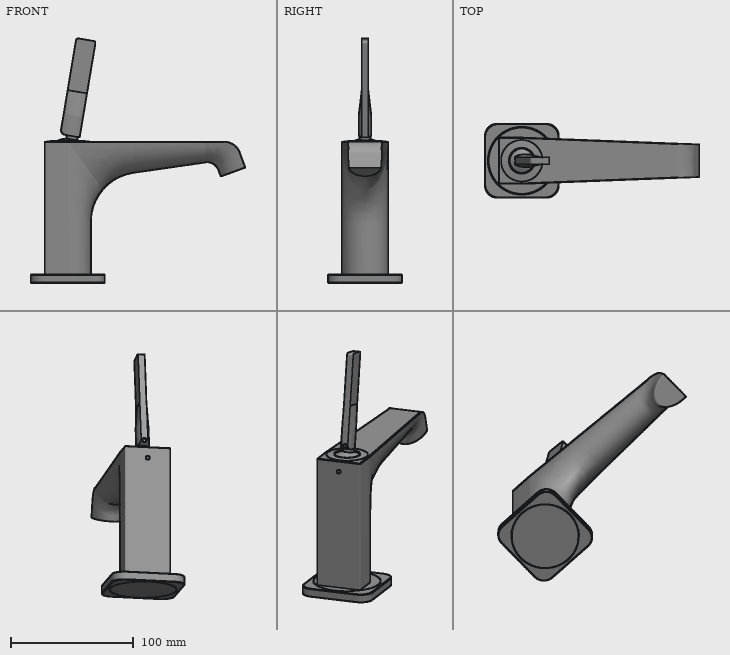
import cadquery as cq
import math

plate_size = 60.5
plate_height = 7.2
plate_corner = 10.4
plate_edge = 0.5
seat_radius = 27.1
seat_gap = 0.4

column_width = 38.0
column_half = column_width / 2
column_top = 115.3
body_edge = 0.5
bend_start_z = 50.3
bend_radius = 40.0
underside_rise = 8.2
neck_x = 112.3
crown_x = 127.3
crown_radius = 13.8
outlet_tilt = 20.0
outlet_x = 144.6
outlet_depth = 21.3
throat_radius = 9.5
outlet_rim = 1.2
spout_end_half = 13.4

plug_radius = 1.5
plug_z = 106.1
plug_recess = 1.0
plug_length = 4.0

pivot_z = 98.0
lever_tilt = 9.5
dome_radius = 20.0
collar_radius = 17.0
collar_bore = 10.5
collar_height = 0.8
collar_rim = 0.2
stem_radius = 4.5
stem_start = 19.2
handle_start = 22.1
handle_length = 79.5
handle_back = -10.0
handle_front = 6.2
handle_edge_thickness = 5.5
handle_mid_thickness = 10.4
bulge_length = 17.0
taper_length = 19.4
tip_corner = 2.0
heel_corner = 4.0
screw_radius = 1.5
screw_height = 3.0
screw_length = 4.0
screw_recess = 1.5
blade_crown = 0.1
fan_steps = 6

arch_center_x = column_half + bend_radius
arch_turn = 90 - underside_rise
corner_turn = arch_turn / 2
throat_split = 20.0
outlet_heading = 90 - outlet_tilt
arch_end = (
    arch_center_x - bend_radius * math.cos(math.radians(arch_turn)),
    bend_start_z + bend_radius * math.sin(math.radians(arch_turn)),
)
rise = math.radians(underside_rise)
tilt = math.radians(outlet_tilt)
neck_z = arch_end[1] + (neck_x - arch_end[0]) * math.tan(rise)
throat_center = (neck_x + throat_radius * math.sin(rise), neck_z - throat_radius * math.cos(rise))
throat_end = (
    throat_center[0] + throat_radius * math.cos(tilt),
    throat_center[1] + throat_radius * math.sin(tilt),
)
crown_center = (crown_x, column_top - crown_radius)
crown_end = (
    crown_center[0] + crown_radius * math.cos(tilt),
    crown_center[1] + crown_radius * math.sin(tilt),
)
outlet_outer = (outlet_x, crown_end[1] - (outlet_x - crown_end[0]) / math.tan(tilt))
outlet_inner = (
    outlet_outer[0] - outlet_depth * math.cos(tilt),
    outlet_outer[1] - outlet_depth * math.sin(tilt),
)

handle_width = handle_front - handle_back
handle_mid = (handle_front + handle_back) / 2


def in_lever_frame(shape):
    """Move a shape built around an upright lever axis at the origin to the tilted axis."""
    return shape.rotate((0, 0, 0), (0, 1, 0), lever_tilt).translate((0, 0, pivot_z))


def make_plate():
    plate = cq.Workplane("XY").rect(plate_size, plate_size).extrude(plate_height)
    plate = plate.edges("|Z").fillet(plate_corner)
    plate = plate.faces("<Z or >Z").edges().chamfer(plate_edge)
    return plate.cut(cq.Workplane("XY").circle(seat_radius + seat_gap).extrude(plate_height))


def make_seat():
    return cq.Workplane("XY").circle(seat_radius).extrude(plate_height)


def half_width(x):
    """Half the width of the column and spout, tapering from the column to the outlet."""
    return column_half - (column_half - spout_end_half) * max(x, 0) / outlet_x


def section(outer, inner):
    """Half-ellipse section: flat along the outer point, rounded through the inner point."""
    span = cq.Vector(inner[0] - outer[0], 0, inner[1] - outer[1])
    plane = cq.Plane(
        origin=(outer[0], 0, outer[1]),
        xDir=span,
        normal=span.cross(cq.Vector(0, 1, 0)),
    )
    return (
        cq.Workplane(plane)
        .ellipseArc(span.Length, half_width(outer[0]), -90, 90, startAtCurrent=False)
        .close()
    )


def between(start, end, fraction):
    return start + (end - start) * fraction


def on_arc(center, radius, heading):
    """Point of an arc in the XZ plane where the path descends by the heading, in degrees."""
    angle = math.radians(heading)
    return center[0] + radius * math.sin(angle), center[1] + radius * math.cos(angle)


def loft_fan(outer_at, inner_at, ruled=False):
    """Solid through sections fanned between an outer and an inner path, each run from 0 to 1."""
    steps = 1 if ruled else fan_steps
    sections = []
    for step in range(steps + 1):
        part = step / steps
        sections.append(section(outer_at(part), inner_at(part)).val())
    return cq.Workplane(cq.Solid.makeLoft(sections, ruled))


def make_column():
    """Rectangular rear half and half-round front half, the front only up to the arch."""
    rear = (
        cq.Workplane("XY", origin=(-column_half / 2, 0, plate_height))
        .rect(column_half, column_width)
        .extrude(column_top - plate_height)
        .edges("|Z and <X")
        .fillet(body_edge)
        .faces(">Z")
        .edges("not >X")
        .chamfer(body_edge)
    )
    front = section((0, plate_height), (column_half, plate_height)).extrude(bend_start_z - plate_height)
    return rear.union(front)


def make_arch():
    """Curve from the column's front to the spout's underside, in two fans that meet at the top corner."""
    def inner_at(turn):
        angle = math.radians(turn)
        return arch_center_x - bend_radius * math.cos(angle), bend_start_z + bend_radius * math.sin(angle)

    upright = loft_fan(
        lambda part: (0, between(bend_start_z, column_top, part)),
        lambda part: inner_at(corner_turn * part),
    )
    level = loft_fan(
        lambda part: (between(0, arch_end[0], part), column_top),
        lambda part: inner_at(between(corner_turn, arch_turn, part)),
    )
    return upright.union(level)


def make_spout():
    straight = loft_fan(
        lambda part: (between(arch_end[0], neck_x, part), column_top),
        lambda part: (between(arch_end[0], neck_x, part), between(arch_end[1], neck_z, part)),
        ruled=True,
    )
    flat_crown = loft_fan(
        lambda part: (between(neck_x, crown_x, part), column_top),
        lambda part: on_arc(throat_center, throat_radius, between(-underside_rise, throat_split, part)),
    )
    round_crown = loft_fan(
        lambda part: on_arc(crown_center, crown_radius, outlet_heading * part),
        lambda part: on_arc(throat_center, throat_radius, between(throat_split, outlet_heading, part)),
    )
    outlet = loft_fan(
        lambda part: [between(a, b, part) for a, b in zip(crown_end, outlet_outer)],
        lambda part: [between(a, b, part) for a, b in zip(throat_end, outlet_inner)],
        ruled=True,
    )
    outlet = outlet.faces("<Z").edges("not |Y").fillet(outlet_rim)
    return straight.union(flat_crown).union(round_crown).union(outlet)


def make_edge_bevel(side):
    """Wedge that bevels one long top edge, from the column to the end of the flat top."""
    edge_y = side * half_width(0)
    wedge = cq.Workplane("YZ").polyline(
        [
            (edge_y - side * body_edge, column_top),
            (edge_y, column_top - body_edge),
            (edge_y + side * body_edge, column_top),
        ]
    ).close()
    along_edge = cq.Vector(crown_x, side * (half_width(crown_x) - half_width(0)), 0)
    return cq.Workplane(cq.Solid.extrudeLinear(wedge.val(), [], along_edge))


def make_body():
    body = make_column().union(make_arch()).union(make_spout())
    for side in (-1, 1):
        body = body.cut(make_edge_bevel(side))
    vent = cq.Workplane("YZ", origin=(-column_half, 0, plug_z)).circle(plug_radius)
    return body.cut(vent.extrude(plug_recess + plug_length))


def make_plug():
    start_x = -column_half + plug_recess
    return cq.Workplane("YZ", origin=(start_x, 0, plug_z)).circle(plug_radius).extrude(plug_length)


def make_collar():
    """Shallow cone around the dome."""
    return (
        cq.Workplane("XZ", origin=(0, 0, column_top))
        .moveTo(collar_bore, 0)
        .lineTo(collar_radius, 0)
        .lineTo(collar_radius, collar_rim)
        .lineTo(collar_bore, collar_height)
        .close()
        .revolve(360, (0, 0), (0, 1))
    )


def make_dome():
    """Cap of the ball around the pivot that stands above the column, less the seat of the stem."""
    ball = cq.Workplane("XY").sphere(dome_radius).translate((0, 0, pivot_z))
    above = cq.Workplane("XY", origin=(0, 0, column_top)).circle(dome_radius).extrude(dome_radius)
    return ball.intersect(above).cut(make_stem())


def make_stem():
    stem = cq.Workplane("XY", origin=(0, 0, stem_start)).circle(stem_radius).extrude(handle_start - stem_start)
    return in_lever_frame(stem)


def handle_section(height, mid_thickness):
    """Blade section with flat front and rear edges and arched sides."""
    edge = handle_edge_thickness / 2
    crest = mid_thickness / 2
    return (
        cq.Workplane("XY", origin=(0, 0, height))
        .moveTo(handle_back, -edge)
        .threePointArc((handle_mid, -crest), (handle_front, -edge))
        .lineTo(handle_front, edge)
        .threePointArc((handle_mid, crest), (handle_back, edge))
        .close()
    )


def make_screw_bore(start, length):
    plane_start = (start, 0, handle_start + screw_height)
    return cq.Workplane("YZ", origin=plane_start).circle(screw_radius).extrude(length)


def make_handle():
    taper_start = handle_start + bulge_length
    taper_end = taper_start + taper_length
    foot = handle_section(handle_start, handle_mid_thickness).extrude(bulge_length)
    taper = cq.Workplane(
        cq.Solid.makeLoft(
            [
                handle_section(taper_start, handle_mid_thickness).val(),
                handle_section(taper_end, handle_edge_thickness + blade_crown).val(),
            ],
            True,
        )
    )
    blade = (
        cq.Workplane("XY", origin=(handle_mid, 0, taper_end))
        .rect(handle_width, handle_edge_thickness)
        .extrude(handle_length - bulge_length - taper_length)
        .faces(">Z")
        .edges("|Y")
        .fillet(tip_corner)
    )
    foot = foot.faces("<Z").edges("<X").fillet(heel_corner)
    handle = foot.union(taper).union(blade)
    return in_lever_frame(handle.cut(make_screw_bore(handle_back, screw_recess + screw_length)))


def make_screw():
    return in_lever_frame(make_screw_bore(handle_back + screw_recess, screw_length))


bodies = [
    make_plate(),
    make_seat(),
    make_body(),
    make_plug(),
    make_collar(),
    make_dome(),
    make_stem(),
    make_handle(),
    make_screw(),
]
result = cq.Compound.makeCompound([body.val() for body in bodies])